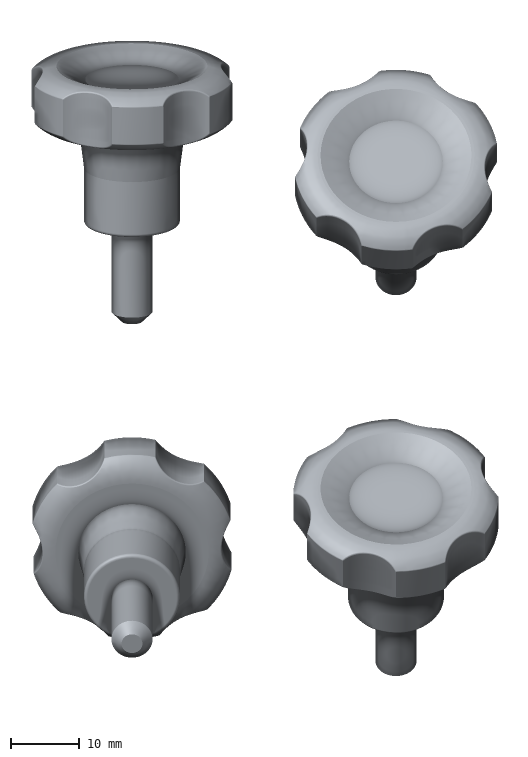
import cadquery as cq
import math

total_height = 39.0
head_bottom = 30.0
neck_bottom = 23.5
collar_bottom = 14.98

head_radius = 14.98
crown_radius = 5.0
top_drop = 1.5
bottom_rise = 1.75
edge_fillet = 0.25

scallop_count = 6
scallop_radius = 6.55
scallop_floor = 13.05

dish_radius = 11.0
dish_floor_radius = 6.82
dish_depth = 2.0

neck_radius = 7.85
collar_radius = 14.0 / 2
collar_fillet = 0.5
pin_radius = 6.0 / 2
pin_chamfer = 1.5


def angle_of(height):
    """Angle swept by a crown arc, from its tangent flat face down to the rim."""
    return math.acos(1 - height / crown_radius)


def crown_point(height, angle):
    """Inset from the rim and distance past it, at an angle up to the flat face."""
    return (
        crown_radius * (math.sin(angle_of(height)) - math.sin(angle)),
        height - crown_radius * (1 - math.cos(angle)),
    )


def make_head():
    """Revolved rim whose crowned edges run tangent into the flat end faces."""
    top_inset, _ = crown_point(top_drop, 0)
    top_mid_inset, top_mid_rise = crown_point(top_drop, angle_of(top_drop) / 2)
    bottom_inset, _ = crown_point(bottom_rise, 0)
    bottom_mid_inset, bottom_mid_fall = crown_point(bottom_rise, angle_of(bottom_rise) / 2)
    rim_top = total_height - top_drop
    rim_bottom = head_bottom + bottom_rise
    head = (
        cq.Workplane("XZ")
        .moveTo(0, head_bottom)
        .lineTo(head_radius - bottom_inset, head_bottom)
        .threePointArc(
            (head_radius - bottom_mid_inset, rim_bottom - bottom_mid_fall),
            (head_radius, rim_bottom),
        )
        .lineTo(head_radius, rim_top)
        .threePointArc(
            (head_radius - top_mid_inset, rim_top + top_mid_rise),
            (head_radius - top_inset, total_height),
        )
        .lineTo(0, total_height)
        .close()
        .revolve(360, (0, 0, 0), (0, 1, 0))
    )
    scallops = (
        cq.Workplane("XY", origin=(0, 0, head_bottom))
        .polarArray(scallop_floor + scallop_radius, 0, 360, scallop_count)
        .circle(scallop_radius)
        .extrude(total_height - head_bottom)
    )
    head = head.cut(scallops)
    crowned_faces = head.faces("%TORUS")
    flat_circles = head.faces("|Z").edges().vals()
    outline = [
        edge
        for edge in crowned_faces.edges().vals()
        if not any(edge.isSame(circle) for circle in flat_circles)
    ]
    return head.newObject(outline).fillet(edge_fillet)


def make_dish():
    """Conical recess with a flat floor."""
    return (
        cq.Workplane("XY", origin=(0, 0, total_height - dish_depth))
        .circle(dish_floor_radius)
        .workplane(offset=dish_depth)
        .circle(dish_radius)
        .loft()
    )


def make_stem():
    """Tapered neck, straight collar and chamfered pin, on one axis."""
    neck = (
        cq.Workplane("XY", origin=(0, 0, neck_bottom))
        .circle(collar_radius)
        .workplane(offset=head_bottom - neck_bottom)
        .circle(neck_radius)
        .loft()
    )
    collar = (
        cq.Workplane("XY", origin=(0, 0, collar_bottom))
        .circle(collar_radius)
        .extrude(neck_bottom - collar_bottom)
        .faces("<Z")
        .edges()
        .fillet(collar_fillet)
    )
    pin = (
        cq.Workplane("XY")
        .circle(pin_radius)
        .extrude(neck_bottom)
        .faces("<Z")
        .edges()
        .chamfer(pin_chamfer)
    )
    return neck.union(collar).union(pin)


result = make_head().cut(make_dish()).union(make_stem())